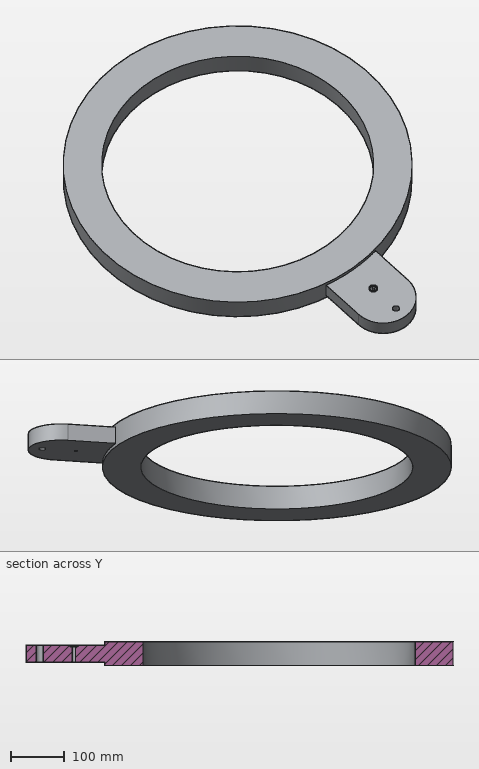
import cadquery as cq

total_length = 797.5
ring_outer_diameter = 651.0
ring_inner_diameter = 507.0
ring_thickness = 45.0

tab_width = 123.0
tab_thickness = 32.0

hole_spacing = 64.0
end_hole_from_tip = 25.5
end_hole_diameter = 13.0
stepped_hole_diameter = 16.0
stepped_hole_middle_diameter = 12.0
stepped_hole_bore_diameter = 5.5
step_depth = 1.5

ring_outer_radius = ring_outer_diameter / 2
ring_inner_radius = ring_inner_diameter / 2
tab_end_radius = tab_width / 2
tab_tip_x = total_length - ring_outer_radius
tab_end_center_x = tab_tip_x - tab_end_radius
end_hole_x = tab_tip_x - end_hole_from_tip
stepped_hole_x = end_hole_x - hole_spacing
tab_root_x = (ring_inner_radius + ring_outer_radius) / 2


def vertical_cylinder(x, diameter, height):
    """Cylinder along Z, centred on the mid-plane."""
    return cq.Workplane("XY").center(x, 0).circle(diameter / 2).extrude(height / 2, both=True)


def make_ring():
    outer = vertical_cylinder(0, ring_outer_diameter, ring_thickness)
    return outer.cut(vertical_cylinder(0, ring_inner_diameter, ring_thickness))


def make_tab():
    """Flat tab with a half-round outer end."""
    return (
        cq.Workplane("XY")
        .moveTo(tab_root_x, -tab_end_radius)
        .lineTo(tab_end_center_x, -tab_end_radius)
        .threePointArc((tab_tip_x, 0), (tab_end_center_x, tab_end_radius))
        .lineTo(tab_root_x, tab_end_radius)
        .close()
        .extrude(tab_thickness / 2, both=True)
    )


def make_stepped_hole():
    """Through bore that widens in two shallow steps below the top face of the tab."""
    hole = vertical_cylinder(stepped_hole_x, stepped_hole_bore_diameter, tab_thickness)
    step_diameters = (stepped_hole_diameter, stepped_hole_middle_diameter)
    for step_number, diameter in enumerate(step_diameters, start=1):
        step = (
            cq.Workplane("XY", origin=(stepped_hole_x, 0, tab_thickness / 2))
            .circle(diameter / 2)
            .extrude(-step_depth * step_number)
        )
        hole = hole.union(step)
    return hole


result = make_ring().union(make_tab())
result = result.cut(vertical_cylinder(end_hole_x, end_hole_diameter, tab_thickness))
result = result.cut(make_stepped_hole())